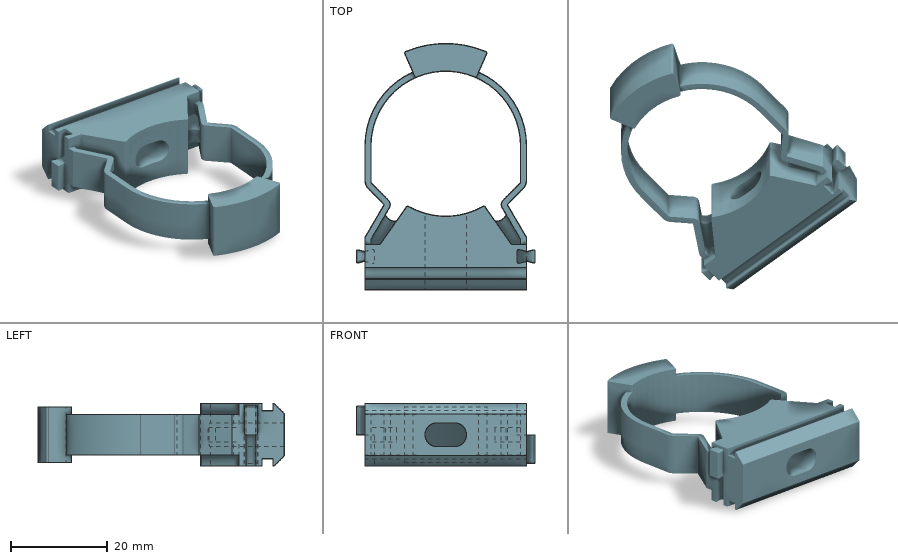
import cadquery as cq
import math


OVERALL_DEPTH = 51.25

CORNER_TOLERANCE = 0.025

HEIGHT = 13.0
HALF_WIDTH = 16.8
BASE_DEPTH = 9.5
BEVEL = 2.15
FLANGE_END = 2.4
GROOVE_END = 4.65
GROOVE_DEPTH = 1.5

SADDLE_BOTTOM = 15.35
SADDLE_FOOT_X = 13.65
SADDLE_TIP_X = 8.0
SADDLE_ROUND = 0.4
SADDLE_FOOT_ROUND = 0.4

RING_HEIGHT = 8.45
RING_WALL = 1.3
RING_CENTER_Y = 29.95
INNER_RADIUS = HALF_WIDTH - RING_WALL
SHOULDER_Y = 21.8
SHOULDER_ROUND = 2.5
WAIST_X = 12.8
WAIST_Y = 17.75
ANKLE_Y = 10.9

WEB_HEIGHT = 3.1
WEB_NOTCH_X = 10.55
WEB_NOTCH_Y = 16.45
WEB_NOTCH_RADIUS = 2.15

GRIP_HEIGHT = 11.65
GRIP_HALF_ANGLE = math.radians(24)
GRIP_OUTER_RADIUS = OVERALL_DEPTH - RING_CENTER_Y
GRIP_OUTER_ROUND = 0.4
GRIP_INNER_ROUND = 0.3

SCREW_SLOT_LENGTH = 8.6
SCREW_SLOT_WIDTH = 4.95

DOVETAIL_Y = 6.95
DOVETAIL_ROUND = 0.3
TONGUE_REACH = 1.8
TONGUE_NECK = 2.0
TONGUE_TIP = 2.9
TONGUE_TOP = 6.0
SOCKET_DEPTH = 1.95
SOCKET_MOUTH = 2.1
SOCKET_FLOOR = 3.0


def prism(outline, height):
    """Extrude an XY outline by an equal amount above and below Z = 0."""
    return outline.extrude(height / 2, both=True)


def mirrored(half):
    """Follow a +X half outline with its mirror image, ending opposite its start."""
    return half + [(-x, y) for x, y in reversed(half)]


def corner_at(solid, x, y):
    """Select the two vertical edges at (x, y) and (-x, y)."""
    tol = CORNER_TOLERANCE
    box = cq.selectors.BoxSelector
    right = box((x - tol, y - tol, -HEIGHT), (x + tol, y + tol, HEIGHT))
    left = box((-x - tol, y - tol, -HEIGHT), (-x + tol, y + tol, HEIGHT))
    return solid.edges("|Z").edges(right + left)


def make_base():
    half_height = HEIGHT / 2
    groove_z = half_height - GROOVE_DEPTH
    lower = [
        (BASE_DEPTH, -half_height),
        (GROOVE_END, -half_height),
        (GROOVE_END, -groove_z),
        (FLANGE_END, -groove_z),
        (FLANGE_END, -half_height),
        (BEVEL, -half_height),
        (0, BEVEL - half_height),
    ]
    upper = [(y, -z) for y, z in reversed(lower)]
    profile = cq.Workplane("YZ").polyline(lower + upper).close()
    return profile.extrude(HALF_WIDTH, both=True)


def make_saddle():
    arc_center_y = SADDLE_BOTTOM + INNER_RADIUS
    tip_y = arc_center_y - math.sqrt(INNER_RADIUS**2 - SADDLE_TIP_X**2)
    outline = (
        cq.Workplane("XY")
        .moveTo(-HALF_WIDTH, GROOVE_END)
        .lineTo(-HALF_WIDTH, BASE_DEPTH)
        .lineTo(-SADDLE_FOOT_X, BASE_DEPTH)
        .lineTo(-SADDLE_TIP_X, tip_y)
        .threePointArc((0, SADDLE_BOTTOM), (SADDLE_TIP_X, tip_y))
        .lineTo(SADDLE_FOOT_X, BASE_DEPTH)
        .lineTo(HALF_WIDTH, BASE_DEPTH)
        .lineTo(HALF_WIDTH, GROOVE_END)
        .close()
    )
    saddle = prism(outline, HEIGHT)
    saddle = corner_at(saddle, SADDLE_TIP_X, tip_y).fillet(SADDLE_ROUND)
    return corner_at(saddle, SADDLE_FOOT_X, BASE_DEPTH).fillet(SADDLE_FOOT_ROUND)


def ring_solid(half_legs, radius, height):
    """Solid bounded by the two legs and the half circle that joins them."""
    start, *rest = mirrored(half_legs)
    outline = cq.Workplane("XY").moveTo(*start)
    for point in rest:
        outline = outline.lineTo(*point)
    outline = outline.threePointArc((0, RING_CENTER_Y + radius), start).close()
    return prism(outline, height)


def make_grip():
    """Solid wedge from the ring centre out to the grip's curved back."""
    outer_x = GRIP_OUTER_RADIUS * math.sin(GRIP_HALF_ANGLE)
    outer_y = GRIP_OUTER_RADIUS * math.cos(GRIP_HALF_ANGLE)
    outline = (
        cq.Workplane("XY")
        .center(0, RING_CENTER_Y)
        .lineTo(-outer_x, outer_y)
        .threePointArc((0, GRIP_OUTER_RADIUS), (outer_x, outer_y))
        .close()
    )
    grip = prism(outline, GRIP_HEIGHT)
    return corner_at(grip, outer_x, RING_CENTER_Y + outer_y).fillet(GRIP_OUTER_ROUND)


def make_ring():
    """Ring of even wall thickness with the grip block on its crown."""
    upper_turn = math.atan2(HALF_WIDTH - WAIST_X, SHOULDER_Y - WAIST_Y)
    lower_turn = math.atan2(HALF_WIDTH - WAIST_X, WAIST_Y - ANKLE_Y)
    inner_shoulder_y = SHOULDER_Y + RING_WALL * math.tan(upper_turn / 2)
    inner_ankle_y = ANKLE_Y - RING_WALL * math.tan(lower_turn / 2)
    waist_miter = RING_WALL / math.cos((upper_turn + lower_turn) / 2)
    waist_tilt = (upper_turn - lower_turn) / 2
    inner_waist_x = WAIST_X - waist_miter * math.cos(waist_tilt)
    inner_waist_y = WAIST_Y + waist_miter * math.sin(waist_tilt)

    outer = ring_solid(
        [
            (HALF_WIDTH, RING_CENTER_Y),
            (HALF_WIDTH, SHOULDER_Y),
            (WAIST_X, WAIST_Y),
            (HALF_WIDTH, ANKLE_Y),
            (HALF_WIDTH, BASE_DEPTH),
        ],
        HALF_WIDTH,
        RING_HEIGHT,
    )
    outer = corner_at(outer, HALF_WIDTH, SHOULDER_Y).fillet(SHOULDER_ROUND)
    inner = ring_solid(
        [
            (INNER_RADIUS, RING_CENTER_Y),
            (INNER_RADIUS, inner_shoulder_y),
            (inner_waist_x, inner_waist_y),
            (INNER_RADIUS, inner_ankle_y),
            (INNER_RADIUS, BASE_DEPTH),
        ],
        INNER_RADIUS,
        HEIGHT,
    )
    inner = corner_at(inner, inner_waist_x, inner_waist_y).fillet(RING_WALL)
    ring = outer.union(make_grip()).cut(inner)
    grip_x = INNER_RADIUS * math.sin(GRIP_HALF_ANGLE)
    grip_y = RING_CENTER_Y + INNER_RADIUS * math.cos(GRIP_HALF_ANGLE)
    return corner_at(ring, grip_x, grip_y).fillet(GRIP_INNER_ROUND)


def make_webs():
    half = [
        (HALF_WIDTH, BASE_DEPTH),
        (HALF_WIDTH, ANKLE_Y),
        (WAIST_X, WAIST_Y),
        (WEB_NOTCH_X, WEB_NOTCH_Y),
        (SADDLE_TIP_X, BASE_DEPTH),
    ]
    right = prism(cq.Workplane("XY").polyline(half).close(), WEB_HEIGHT)
    notch = cq.Workplane("XY").center(WEB_NOTCH_X, WEB_NOTCH_Y).circle(WEB_NOTCH_RADIUS)
    right = right.cut(prism(notch, WEB_HEIGHT))
    return right.union(right.mirror("YZ"))


def make_screw_slot():
    """Slot from the front of the base through the saddle, ending in open space."""
    outline = cq.Workplane("XZ").slot2D(SCREW_SLOT_LENGTH, SCREW_SLOT_WIDTH)
    return outline.extrude(-RING_CENTER_Y)


def dovetail(start_x, end_x, start_width, end_width, height):
    """Dovetail prism rising from Z = 0, flaring along X."""
    return (
        cq.Workplane("XY")
        .center(0, DOVETAIL_Y)
        .moveTo(start_x, -start_width / 2)
        .lineTo(end_x, -end_width / 2)
        .lineTo(end_x, end_width / 2)
        .lineTo(start_x, start_width / 2)
        .close()
        .extrude(height)
    )


def make_left_tongue():
    tip_x = -HALF_WIDTH - TONGUE_REACH
    tongue = dovetail(-HALF_WIDTH, tip_x, TONGUE_NECK, TONGUE_TIP, TONGUE_TOP)
    tongue = tongue.faces("<X").edges("|Z").fillet(DOVETAIL_ROUND)
    return tongue.faces(">Z").edges("not >X").fillet(DOVETAIL_ROUND)


def make_right_socket():
    floor_x = HALF_WIDTH - SOCKET_DEPTH
    socket = dovetail(HALF_WIDTH, floor_x, SOCKET_MOUTH, SOCKET_FLOOR, HEIGHT / 2)
    return socket.faces("<X").edges("|Z").fillet(DOVETAIL_ROUND)


def turned(solid):
    """Half turn about Y, which swaps left with right and top with bottom."""
    return solid.rotate((0, 0, 0), (0, 1, 0), 180)


left_tongue = make_left_tongue()
right_socket = make_right_socket()

result = (
    make_base()
    .union(make_ring())
    .union(make_webs())
    .union(make_saddle())
    .cut(make_screw_slot())
    .cut(right_socket)
    .cut(turned(right_socket))
    .union(left_tongue)
    .union(turned(left_tongue))
)